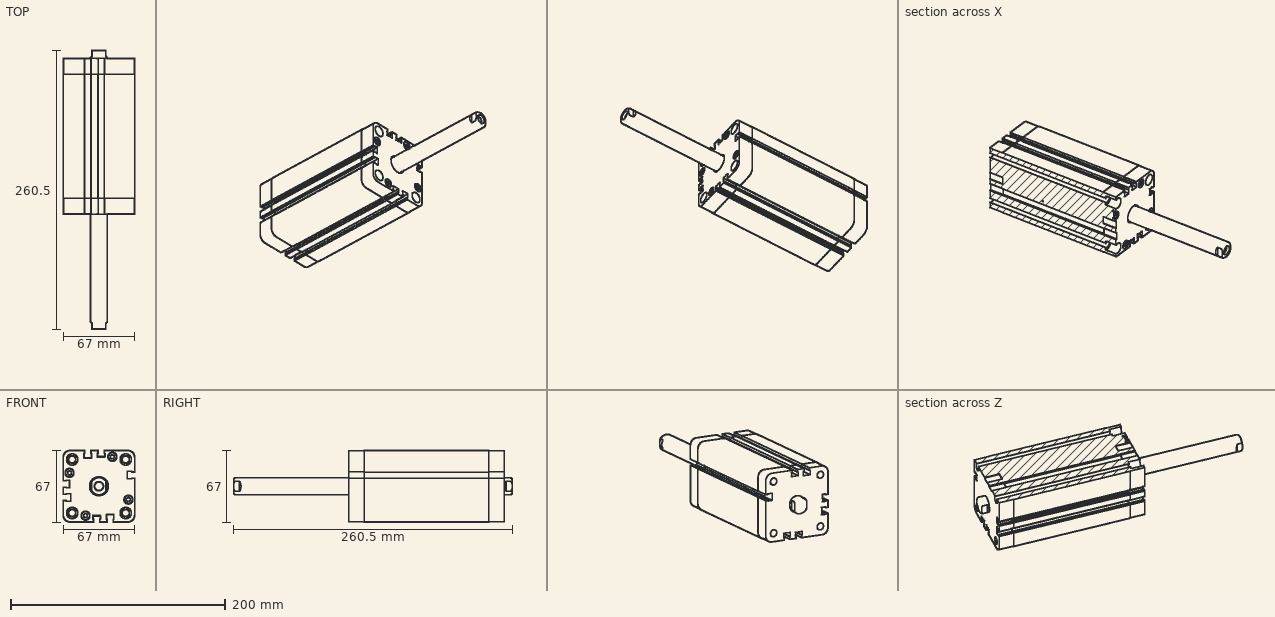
import cadquery as cq
import math


cap_width = 66.6
barrel_width = 67.0
body_length = 145.5
cap_length = 14.75
barrel_length = body_length - 2 * cap_length
corner_radius = 6.5
half_width = barrel_width / 2

rod_diameter = 16.0
rod_front_length = 107.5
rod_rear_length = 7.5
rod_length = rod_front_length + body_length + rod_rear_length
rod_end_radius = 2.0
rod_clearance_diameter = 17.6
rod_clearance_depth = 2.0

flat_width = 13.0
flat_length = 5.5
flat_depth = (rod_diameter - flat_width) / 2

rod_hole_diameter = 8.0
rod_hole_mouth_diameter = 8.57
rod_hole_mouth_depth = 3.0
rod_hole_depth = 20.0
drill_point_angle = 118.0

mount_spacing = 50.0
mount_hole_diameter = 6.65
mount_bore_diameter = 10.5
mount_bore_depth = 12.0

screw_offset_along = 12.5
screw_offset_out = 27.5
screw_pocket_diameter = 8.25
screw_pocket_depth = 4.0
screw_head_diameter = 7.5
screw_hex_width = 3.5
screw_hex_depth = 2.5

deep_slot_center = -10.45
cap_deep_slot_depth = 7.0
barrel_deep_slot_depth = 7.3
shallow_slot_center = 2.1
cap_shallow_slot_depth = 6.2
barrel_shallow_slot_depth = 5.6
cap_slot_mouth = 5.8
barrel_slot_mouth = 5.7
cap_slot_inner = 7.0
barrel_slot_inner = 6.7
slot_lip = 2.8

TOP, LEFT, BOTTOM, RIGHT = 0, 90, 180, 270
deep_slot_sides = (TOP, LEFT, BOTTOM, RIGHT)
shallow_slot_sides = (TOP, LEFT, BOTTOM)


def front_plane(y):
    """Plane at depth y with X right, Z up and its normal toward -Y."""
    return cq.Workplane("XZ", origin=(0, y, 0))


def turn(shape, angle):
    """Turn a shape about the cylinder axis, from the top face toward the left face."""
    return shape.rotate((0, 0, 0), (0, -1, 0), angle)


def t_slot(center, mouth, inner_width, depth, start, length):
    """T-slot cutter open at the top face."""
    inner_height = depth - slot_lip
    inner_z = half_width - slot_lip - inner_height / 2
    lip_z = half_width - slot_lip / 2
    plane = front_plane(start)
    inner = plane.center(center, inner_z).rect(inner_width, inner_height).extrude(-length)
    lip = plane.center(center, lip_z).rect(mouth, slot_lip).extrude(-length)
    return inner.union(lip)


def body_section(start, length, width, mouth, inner_width, deep_depth, shallow_depth):
    """Rounded square bar with its T-slots."""
    section = front_plane(start).rect(width, width).extrude(-length)
    section = section.edges("|Y").fillet(corner_radius)
    deep = t_slot(deep_slot_center, mouth, inner_width, deep_depth, start, length)
    shallow = t_slot(shallow_slot_center, mouth, inner_width, shallow_depth, start, length)
    for side in deep_slot_sides:
        section = section.cut(turn(deep, side))
    for side in shallow_slot_sides:
        section = section.cut(turn(shallow, side))
    return section


def make_cap(start):
    return body_section(
        start,
        cap_length,
        cap_width,
        cap_slot_mouth,
        cap_slot_inner,
        cap_deep_slot_depth,
        cap_shallow_slot_depth,
    )


def make_barrel(start):
    return body_section(
        start,
        barrel_length,
        barrel_width,
        barrel_slot_mouth,
        barrel_slot_inner,
        barrel_deep_slot_depth,
        barrel_shallow_slot_depth,
    )


def make_body():
    front_cap = make_cap(0)
    barrel = make_barrel(cap_length)
    rear_cap = make_cap(cap_length + barrel_length)
    return front_cap.union(barrel).union(rear_cap)


def cut_mount_holes(body):
    corners = front_plane(0).rect(mount_spacing, mount_spacing, forConstruction=True).vertices()
    holes = corners.circle(mount_hole_diameter / 2).extrude(-body_length)
    bores = corners.circle(mount_bore_diameter / 2).extrude(-mount_bore_depth)
    return body.cut(holes).cut(bores)


def cut_screw_outlines(body):
    """Leave a socket-head screw standing in a pocket near each side of the front face."""
    plane = front_plane(0).center(screw_offset_along, screw_offset_out)
    gap = plane.circle(screw_pocket_diameter / 2).circle(screw_head_diameter / 2)
    gap = gap.extrude(-screw_pocket_depth)
    hex_corner_diameter = screw_hex_width / math.cos(math.radians(30))
    socket = front_plane(0).polygon(6, hex_corner_diameter).extrude(-screw_hex_depth)
    socket = turn(socket, 90)
    for side in (TOP, LEFT, BOTTOM, RIGHT):
        turn_cos = math.cos(math.radians(side))
        turn_sin = math.sin(math.radians(side))
        x = screw_offset_along * turn_cos - screw_offset_out * turn_sin
        z = screw_offset_along * turn_sin + screw_offset_out * turn_cos
        body = body.cut(turn(gap, side)).cut(socket.translate((x, 0, z)))
    return body


def cut_rod_clearance(body):
    recess = front_plane(0).circle(rod_clearance_diameter / 2).extrude(-rod_clearance_depth)
    return body.cut(recess)


def flat_cutters(end_y, inward):
    """Cutters for the two flats at one rod end; inward is the Y direction into the rod."""
    inner = flat_width / 2
    outer = inner + flat_depth
    outline = [
        (inner, end_y),
        (inner, end_y + inward * flat_length),
        (outer, end_y + inward * (flat_length + flat_depth)),
        (outer, end_y),
    ]
    cutter = cq.Workplane("XY").polyline(outline).close().extrude(rod_diameter / 2, both=True)
    return cutter.union(cutter.mirror("YZ"))


def rod_hole(end_y):
    """Drilled hole with a slightly widened mouth and a conical bottom."""
    radius = rod_hole_diameter / 2
    mouth_radius = rod_hole_mouth_diameter / 2
    point_depth = radius / math.tan(math.radians(drill_point_angle / 2))
    outline = [
        (0, end_y),
        (mouth_radius, end_y),
        (mouth_radius, end_y + rod_hole_mouth_depth),
        (radius, end_y + rod_hole_mouth_depth),
        (radius, end_y + rod_hole_depth),
        (0, end_y + rod_hole_depth + point_depth),
    ]
    return cq.Workplane("XY").polyline(outline).close().revolve(360, (0, 0, 0), (0, 1, 0))


def make_rod():
    front_end = -rod_front_length
    rear_end = body_length + rod_rear_length
    rod = front_plane(front_end).circle(rod_diameter / 2).extrude(-rod_length)
    rod = rod.faces("<Y or >Y").edges().fillet(rod_end_radius)
    rod = rod.cut(flat_cutters(front_end, 1)).cut(flat_cutters(rear_end, -1))
    return rod.cut(rod_hole(front_end))


body = make_body()
body = cut_mount_holes(body)
body = cut_screw_outlines(body)
body = cut_rod_clearance(body)
result = body.union(make_rod())